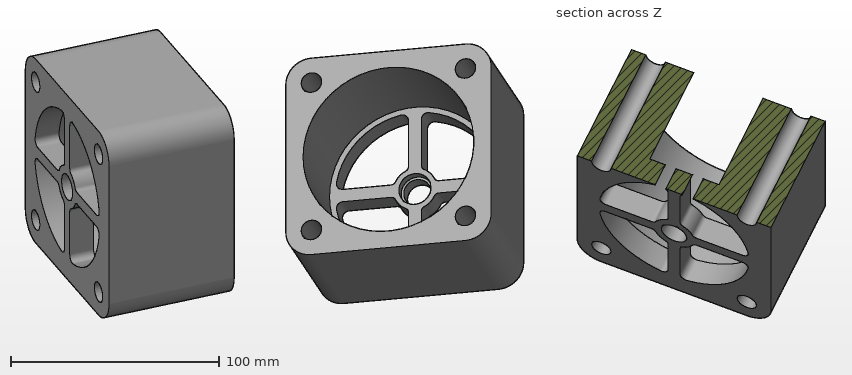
import cadquery as cq
import math

side = 101.6
depth = 65.5
corner_radius = 12.7

bolt_diameter = 10.1
bolt_spacing = side - 2 * corner_radius

spider_thickness = 12.5
window_diameter = 78.8
spoke_width = 6.4
hub_diameter = 21.3
window_corner_radius = 3.3
hub_corner_radius = 2.5
hub_bore_diameter = 13.3
hub_bore_depth = 7.7
hub_counterbore_diameter = 15.8

chamber_diameter = 84.4

front = cq.Workplane("XZ")


def cylinder(diameter, start, length):
    """Solid cylinder on the Y axis, from y = start to y = start + length."""
    return front.workplane(offset=-start).circle(diameter / 2).extrude(-length)


def make_window():
    """One quarter opening between two spokes, with rounded corners."""
    edge = spoke_width / 2
    outer = window_diameter / 2
    inner = hub_diameter / 2
    outer_reach = math.sqrt(outer**2 - edge**2)
    inner_reach = math.sqrt(inner**2 - edge**2)
    diagonal = math.sqrt(0.5)
    window = (
        front.moveTo(inner_reach, edge)
        .lineTo(outer_reach, edge)
        .threePointArc((outer * diagonal, outer * diagonal), (edge, outer_reach))
        .lineTo(edge, inner_reach)
        .threePointArc((inner * diagonal, inner * diagonal), (inner_reach, edge))
        .close()
        .extrude(-spider_thickness)
    )
    window = window.edges("|Y and (not (>X or >Z))").fillet(hub_corner_radius)
    return window.edges("|Y and (>X or >Z)").fillet(window_corner_radius)


block = front.rect(side, side).extrude(-depth).edges("|Y").fillet(corner_radius)
bolt_holes = (
    front.rect(bolt_spacing, bolt_spacing, forConstruction=True)
    .vertices()
    .circle(bolt_diameter / 2)
    .extrude(-depth)
)

result = block.cut(bolt_holes)
result = result.cut(cylinder(chamber_diameter, spider_thickness, depth - spider_thickness))
result = result.cut(cylinder(hub_bore_diameter, 0, hub_bore_depth))
result = result.cut(cylinder(hub_counterbore_diameter, hub_bore_depth, spider_thickness - hub_bore_depth))
window = make_window()
for quarter in range(4):
    result = result.cut(window.rotate((0, 0, 0), (0, 1, 0), 90 * quarter))